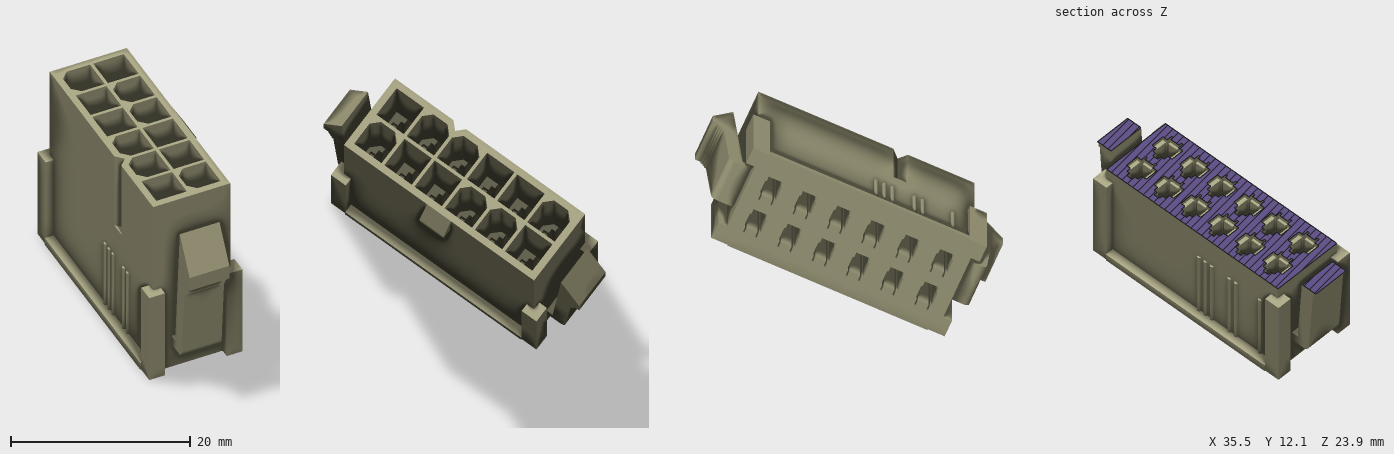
import cadquery as cq
import math

body_length = 26.4
body_width = 9.6
body_height = 23.9

strip_length = 24.42
strip_width = 11.8
strip_height = 0.95

columns_length = 28.55
columns_width = 11.57
column_x = 2.05
column_y = 1.95
column_height = 11.85

pitch = 4.2
cell_columns = 6
cell_size = 3.8
cell_chamfer = 0.92
cell_depth = 9.98
cell_pattern = ("SKKSSK", "KSSKKS")

passage_width = 2.02
passage_narrow_width = 1.7
passage_top = 1.7
passage_bottom = -1.3
recess_width = 3.0
recess_top = 1.0
recess_bottom = -0.7
recess_depth = 1.0
finger_width = 1.28
finger_step_y = 1.3
finger_step_height = 1.0
ramp_width = 0.75
ramp_depth = 3.2

key_depth = 0.9
key_height = 9.98

rib_radius = 0.25
rib_top = 9.73
rib_start = 1.15
rib_group_pitch = 4.7
rib_pitch = 1.0
rib_counts = (3, 2, 1)

tab_length = 3.35
tab_reach = 1.42
tab_height = 3.0
tab_edge = 0.55

overall_length = 35.5
latch_width = 4.95
latch_tip_x = 15.23
latch_tip_z = 20.63
latch_shoulder_z = 16.15
latch_hook_z = 14.3
hook_ledge = 0.7
tooth_run = 0.2
tooth_drop = 0.5
tooth_count = 3
latch_bottom_z = 3.2
latch_foot_top_z = 4.45
latch_lean = math.radians(4.1)
latch_fillet = 0.8


def block(x_size, y_size, z_size):
    """Box standing on Z = 0, centred on X and Y."""
    return cq.Workplane("XY").box(x_size, y_size, z_size, centered=(True, True, False))


def span(width, y_low, y_high, z_low, z_high):
    """Box centred on X between the given Y and Z limits."""
    return (
        cq.Workplane("XY")
        .box(width, y_high - y_low, z_high - z_low, centered=(True, False, False))
        .translate((0, y_low, z_low))
    )


def make_shell():
    """Housing block with its base strips and corner columns."""
    shell = block(body_length, body_width, body_height)
    shell = shell.union(block(strip_length, strip_width, strip_height))
    column_centers = cq.Workplane("XY").rect(
        columns_length - column_x, columns_width - column_y, forConstruction=True
    )
    columns = column_centers.vertices().rect(column_x, column_y).extrude(column_height)
    return shell.union(columns)


def make_cell_cutter(keyed):
    """Material removed for one cell and its passage, centred on X = Y = 0."""
    floor_z = body_height - cell_depth
    half = cell_size / 2

    cavity = span(cell_size, -half, half, floor_z, body_height)
    if keyed:
        cavity = cavity.edges("|Z and <Y").chamfer(cell_chamfer)

    passage = span(passage_width, recess_bottom, recess_top, 0, floor_z)
    narrow = span(passage_narrow_width, passage_bottom, passage_top, 0, floor_z)
    recess = span(recess_width, recess_bottom, recess_top, floor_z - recess_depth, floor_z)
    ramp = (
        cq.Workplane("YZ")
        .polyline([
            (-half, floor_z),
            (passage_bottom, floor_z),
            (passage_bottom, floor_z - ramp_depth),
        ])
        .close()
        .extrude(ramp_width / 2, both=True)
    )

    finger = span(finger_width, recess_top, passage_top, 0, floor_z - finger_step_height)
    finger = finger.union(span(finger_width, finger_step_y, passage_top, 0, floor_z))

    return cavity.union(passage).union(narrow.cut(finger)).union(recess).union(ramp)


def cut_cells(part):
    """Cut the two rows of cells."""
    cutters = {"S": make_cell_cutter(False), "K": make_cell_cutter(True)}
    for row, kinds in enumerate(cell_pattern):
        for column, kind in enumerate(kinds):
            x = (column - (cell_columns - 1) / 2) * pitch
            y = (0.5 - row) * pitch
            part = part.cut(cutters[kind].translate((x, y, 0)))
    return part


def make_key_groove():
    """Right-angled V groove, one pitch to the right of the centre."""
    side = -body_width / 2
    return (
        cq.Workplane("XY")
        .workplane(offset=body_height - key_height)
        .polyline([(pitch - key_depth, side), (pitch, side + key_depth), (pitch + key_depth, side)])
        .close()
        .extrude(key_height)
    )


def make_ribs():
    """Round position marks rising from the base strip."""
    centers = [
        (rib_start + group * rib_group_pitch + rib * rib_pitch, -body_width / 2)
        for group, count in enumerate(rib_counts)
        for rib in range(count)
    ]
    return cq.Workplane("XY").pushPoints(centers).circle(rib_radius).extrude(rib_top)


def make_tab():
    """Wedge-shaped locking tab at the top of the +Y side."""
    side = body_width / 2
    bottom = body_height - tab_height
    return (
        cq.Workplane("YZ")
        .polyline([
            (side, body_height),
            (side + tab_reach, bottom + tab_edge),
            (side + tab_reach, bottom),
            (side, bottom),
        ])
        .close()
        .extrude(tab_length / 2, both=True)
    )


def make_latch():
    """Leaning spring latch on the +X side, joined to the housing by its foot."""
    lean = math.tan(latch_lean)
    root_x = body_length / 2
    hook_x = overall_length / 2
    inner_x = latch_tip_x - (latch_tip_z - latch_foot_top_z) * lean

    points = [
        (root_x, latch_bottom_z),
        (root_x, latch_foot_top_z),
        (inner_x, latch_foot_top_z),
        (latch_tip_x, latch_tip_z),
        (hook_x, latch_shoulder_z),
        (hook_x, latch_hook_z),
    ]
    x = hook_x - hook_ledge
    z = latch_hook_z
    points.append((x, z))
    for _ in range(tooth_count):
        z -= tooth_drop
        points.append((x, z))
        x -= tooth_run
        points.append((x, z))
    points.append((x - (z - latch_bottom_z) * lean, latch_bottom_z))

    latch = cq.Workplane("XZ").polyline(points).close().extrude(latch_width / 2, both=True)
    outer_heel = cq.selectors.NearestToPointSelector((points[-1][0], 0, latch_bottom_z))
    return latch.edges("|Y").edges(outer_heel).fillet(latch_fillet)


latch = make_latch()

result = make_shell().union(make_ribs()).union(make_tab())
result = result.union(latch).union(latch.mirror("YZ"))
result = cut_cells(result).cut(make_key_groove())